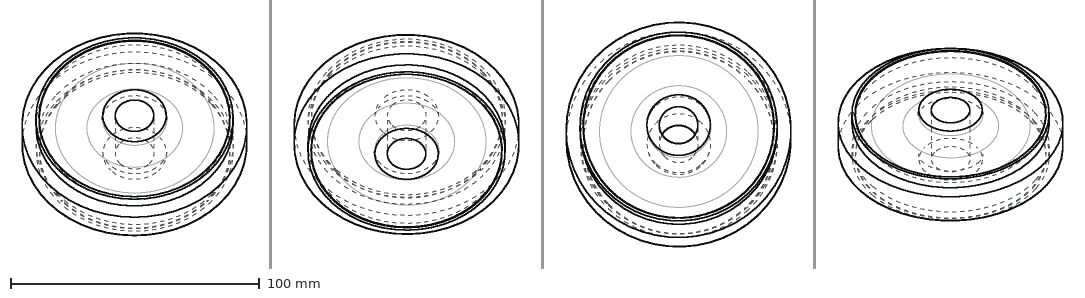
import cadquery as cq

tread_radius = 45.2
tread_width = 12.85
rim_radius = 79.4 / 2
rim_width = 22.3

hub_top_radius = 12.8
hub_width = 26.15
bore_radius = 15.5 / 2

rim_mouth_radius = 38.5
web_thickness = 9.1
fillet_radius = 6.3
draft_offset = 0.2

hub_top = hub_width / 2
rim_top = rim_width / 2
hub_foot_radius = hub_top_radius + draft_offset
rim_foot_radius = rim_mouth_radius - draft_offset
web_top = web_thickness / 2
fillet_top = web_top + fillet_radius
web_inner_radius = hub_foot_radius + fillet_radius
web_outer_radius = rim_foot_radius - fillet_radius
arc_inset = fillet_radius * (1 - 0.5**0.5)


def centered_disc(radius, width):
    """Disc on the Z axis, centered on the XY plane."""
    return cq.Workplane("XY").workplane(offset=-width / 2).circle(radius).extrude(width)


def face_cut():
    """Ring removed above the web and rim on the upper face, leaving the hub."""
    return (
        cq.Workplane("XZ")
        .moveTo(hub_top_radius, hub_top)
        .lineTo(hub_foot_radius, fillet_top)
        .threePointArc(
            (hub_foot_radius + arc_inset, web_top + arc_inset),
            (web_inner_radius, web_top),
        )
        .lineTo(web_outer_radius, web_top)
        .threePointArc(
            (rim_foot_radius - arc_inset, web_top + arc_inset),
            (rim_foot_radius, fillet_top),
        )
        .lineTo(rim_mouth_radius, rim_top)
        .lineTo(rim_radius, rim_top)
        .lineTo(rim_radius, hub_top)
        .close()
        .revolve(360, (0, 0, 0), (0, 1, 0))
    )


blank = centered_disc(tread_radius, tread_width).union(centered_disc(rim_radius, hub_width))

upper_cut = face_cut()
dished = blank.cut(upper_cut).cut(upper_cut.mirror("XY"))
result = dished.cut(centered_disc(bore_radius, hub_width)).clean()